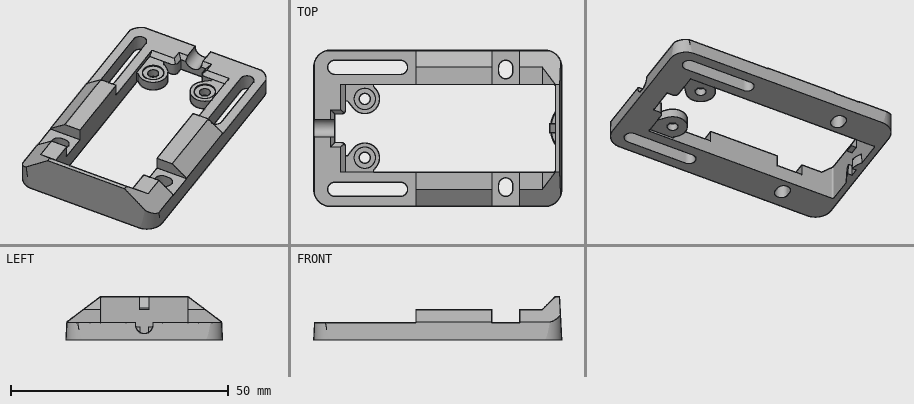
import cadquery as cq
import math

LENGTH = 57.0
WIDTH = 36.0
HEIGHT = 10.0
DRAFT_ANGLE = 3.0
CORNER_RADIUS = 4.0
FRONT_X = -LENGTH / 2
BACK_X = LENGTH / 2

BASE_HEIGHT = 4.0
RAIL_HEIGHT = 7.0

RAIL_START = FRONT_X + 23.5
GAP_START = FRONT_X + 40.9
GAP_END = FRONT_X + 47.3
WALL_INNER_X = BACK_X - 1.5
RAMP_START = WALL_INNER_X - (HEIGHT - RAIL_HEIGHT)

OPENING_HALF_WIDTH = 10.05
OPENING_FRONT_X = FRONT_X + 7.35
CABLE_NOTCH_X = FRONT_X + 4.9
CABLE_NOTCH_HALF_WIDTH = 3.25
NOTCH_CORNER_RADIUS = 1.0
SILL_DROP = 1.0
SILL_Z = BASE_HEIGHT - SILL_DROP
SILL_RUN = 1.15
NOTCH_BEVEL_RUN = SILL_DROP
WALL_CORNER_RADIUS = 0.4
CABLE_RADIUS = 2.0
CABLE_AXIS_Z = 3.5

SLOT_WIDTH = 3.2
LONG_SLOT_LENGTH = 18.3
LONG_SLOT_X = FRONT_X + 12.4
LONG_SLOT_Y = 14.0
SHORT_SLOT_LENGTH = 4.2
SHORT_SLOT_X = (GAP_START + GAP_END) / 2
SHORT_SLOT_Y = 13.5

BOSS_X = FRONT_X + 11.75
BOSS_Y = 6.75
BOSS_RADIUS = 3.4
BOSS_BOTTOM_Z = 0.6
BOSS_TOP_Z = SILL_Z
BOSS_HOLE_RADIUS = 1.25
RECESS_RADIUS = 2.45
RECESS_DEPTH = 0.3
WEB_INNER_CORNER = (BOSS_X - 3.95, BOSS_Y - 0.5)
WEB_END_CORNER = (BOSS_X + 2.0, BOSS_Y + 2.9)

CATCH_WIDTH = 2.1
CATCH_DEPTH = 1.3
CATCH_BOTTOM_Z = 7.05
CATCH_LIP = 0.3
TAB_HALF_SPAN = 3.8
TAB_GAP = 2.0
TAB_DEPTH = 1.15
TAB_HEIGHT = 3.0


def block(x_min, x_max, y_min, y_max, z_min, z_max):
    """Axis-aligned box given by its limits."""
    size = (x_max - x_min, y_max - y_min, z_max - z_min)
    return cq.Workplane("XY").box(*size, centered=False).translate((x_min, y_min, z_min))


def fillet_upright(solid, x, y, radius):
    """Round the vertical edge that stands nearest to (x, y)."""
    nearest = cq.selectors.NearestToPointSelector((x, y, HEIGHT / 2))
    return solid.edges("|Z").edges(nearest).fillet(radius)


def tangent_point(corner, turn):
    """Point where the line from corner touches the boss circle; turn is +1 or -1."""
    dx = corner[0] - BOSS_X
    dy = corner[1] - BOSS_Y
    angle = math.atan2(dy, dx) + turn * math.acos(BOSS_RADIUS / math.hypot(dx, dy))
    return (BOSS_X + BOSS_RADIUS * math.cos(angle), BOSS_Y + BOSS_RADIUS * math.sin(angle))


def make_envelope():
    """Rounded-corner block whose four flat sides lean inward; the corners stay upright."""
    upright = cq.Workplane("XY").rect(LENGTH, WIDTH).extrude(HEIGHT).edges("|Z").fillet(CORNER_RADIUS)
    drafted = cq.Workplane("XY").rect(LENGTH, WIDTH).extrude(HEIGHT, taper=DRAFT_ANGLE)
    return upright.intersect(drafted)


def make_side_profile():
    """Stepped profile along X: base, rails, gap, ramp and end wall."""
    points = [
        (FRONT_X, 0),
        (BACK_X, 0),
        (BACK_X, HEIGHT),
        (WALL_INNER_X, HEIGHT),
        (RAMP_START, RAIL_HEIGHT),
        (GAP_END, RAIL_HEIGHT),
        (GAP_END, BASE_HEIGHT),
        (GAP_START, BASE_HEIGHT),
        (GAP_START, RAIL_HEIGHT),
        (RAIL_START, RAIL_HEIGHT),
        (RAIL_START, BASE_HEIGHT),
        (FRONT_X, BASE_HEIGHT),
    ]
    return cq.Workplane("XZ").polyline(points).close().extrude(WIDTH / 2, both=True)


def make_roof_profile():
    """Cross-section with slopes from the base edge up to the opening edge."""
    points = [
        (-WIDTH / 2, 0),
        (WIDTH / 2, 0),
        (WIDTH / 2, BASE_HEIGHT),
        (OPENING_HALF_WIDTH, HEIGHT),
        (-OPENING_HALF_WIDTH, HEIGHT),
        (-WIDTH / 2, BASE_HEIGHT),
    ]
    return cq.Workplane("YZ").polyline(points).close().extrude(LENGTH / 2, both=True)


def make_opening():
    """Central opening with a cable notch in the front bar; the notch and end wall corners are rounded."""
    main = block(OPENING_FRONT_X, WALL_INNER_X, -OPENING_HALF_WIDTH, OPENING_HALF_WIDTH, 0, HEIGHT)
    notch = block(
        CABLE_NOTCH_X, OPENING_FRONT_X, -CABLE_NOTCH_HALF_WIDTH, CABLE_NOTCH_HALF_WIDTH, 0, HEIGHT
    )
    opening = main.union(notch)
    for side in (-1, 1):
        notch_y = side * CABLE_NOTCH_HALF_WIDTH
        wall_y = side * OPENING_HALF_WIDTH
        opening = fillet_upright(opening, OPENING_FRONT_X, notch_y, NOTCH_CORNER_RADIUS)
        opening = fillet_upright(opening, WALL_INNER_X, wall_y, WALL_CORNER_RADIUS)
    return opening


def make_sill_bevel():
    """Sloped lead-in along the top edge of the front bar and around the cable notch."""
    points = [
        (OPENING_FRONT_X, SILL_Z),
        (OPENING_FRONT_X - SILL_RUN, BASE_HEIGHT),
        (OPENING_FRONT_X, BASE_HEIGHT),
    ]
    straight = cq.Workplane("XZ").polyline(points).close().extrude(OPENING_HALF_WIDTH, both=True)
    notch_depth = OPENING_FRONT_X - CABLE_NOTCH_X
    around_notch = (
        cq.Workplane("XY", origin=(CABLE_NOTCH_X + notch_depth / 2, 0, SILL_Z))
        .rect(notch_depth, 2 * CABLE_NOTCH_HALF_WIDTH)
        .workplane(offset=SILL_DROP)
        .rect(notch_depth + 2 * NOTCH_BEVEL_RUN, 2 * (CABLE_NOTCH_HALF_WIDTH + NOTCH_BEVEL_RUN))
        .loft(ruled=True)
    )
    return straight.union(around_notch)


def make_cable_groove():
    """U-shaped groove through the front bar."""
    length = OPENING_FRONT_X - FRONT_X
    axis_start = cq.Workplane("YZ", origin=(FRONT_X, 0, CABLE_AXIS_Z))
    round_bottom = axis_start.circle(CABLE_RADIUS).extrude(length)
    mouth = block(FRONT_X, FRONT_X + length, -CABLE_RADIUS, CABLE_RADIUS, CABLE_AXIS_Z, HEIGHT)
    return round_bottom.union(mouth)


def make_slots():
    """Long slots along X near the front and short slots along Y in the rail gaps."""
    slots = cq.Workplane("XY")
    for side in (-1, 1):
        long_slot = (
            cq.Workplane("XY")
            .center(LONG_SLOT_X, side * LONG_SLOT_Y)
            .slot2D(LONG_SLOT_LENGTH, SLOT_WIDTH)
            .extrude(HEIGHT)
        )
        short_slot = (
            cq.Workplane("XY")
            .center(SHORT_SLOT_X, side * SHORT_SLOT_Y)
            .slot2D(SHORT_SLOT_LENGTH, SLOT_WIDTH, 90)
            .extrude(HEIGHT)
        )
        slots = slots.add(long_slot).add(short_slot)
    return slots.combine()


def make_boss():
    """Screw boss on the +Y side with a web into the corner of the opening."""
    thickness = BOSS_TOP_Z - BOSS_BOTTOM_Z
    base = cq.Workplane("XY", origin=(BOSS_X, BOSS_Y, BOSS_BOTTOM_Z))
    web_points = [
        (OPENING_FRONT_X, OPENING_HALF_WIDTH),
        (OPENING_FRONT_X, WEB_INNER_CORNER[1]),
        WEB_INNER_CORNER,
        tangent_point(WEB_INNER_CORNER, 1),
        tangent_point(WEB_END_CORNER, -1),
        WEB_END_CORNER,
        (WEB_END_CORNER[0], OPENING_HALF_WIDTH),
    ]
    web_plane = cq.Workplane("XY", origin=(0, 0, BOSS_BOTTOM_Z))
    web = web_plane.polyline(web_points).close().extrude(thickness)
    plate = base.circle(BOSS_RADIUS).extrude(thickness).union(web)
    hole = base.circle(BOSS_HOLE_RADIUS).extrude(thickness)
    recess = (
        cq.Workplane("XY", origin=(BOSS_X, BOSS_Y, BOSS_TOP_Z))
        .circle(RECESS_RADIUS)
        .extrude(-RECESS_DEPTH)
    )
    return plate.cut(hole).cut(recess)


def make_catch():
    """Wedge on the end wall, growing downward from the top edge."""
    points = [
        (WALL_INNER_X, HEIGHT),
        (WALL_INNER_X - CATCH_DEPTH, CATCH_BOTTOM_Z + CATCH_LIP),
        (WALL_INNER_X - CATCH_DEPTH, CATCH_BOTTOM_Z),
        (WALL_INNER_X, CATCH_BOTTOM_Z),
    ]
    return cq.Workplane("XZ").polyline(points).close().extrude(CATCH_WIDTH / 2, both=True)


def make_tabs():
    """Bowed rib low on the end wall, split in two by a central gap and rooted inside the wall."""
    tab_root_x = (WALL_INNER_X + BACK_X) / 2
    bow = (
        cq.Workplane("XY")
        .moveTo(WALL_INNER_X, -TAB_HALF_SPAN)
        .threePointArc((WALL_INNER_X - TAB_DEPTH, 0), (WALL_INNER_X, TAB_HALF_SPAN))
        .lineTo(tab_root_x, TAB_HALF_SPAN)
        .lineTo(tab_root_x, -TAB_HALF_SPAN)
        .close()
        .extrude(TAB_HEIGHT, taper=DRAFT_ANGLE)
    )
    gap = block(WALL_INNER_X - 2 * TAB_DEPTH, BACK_X, -TAB_GAP / 2, TAB_GAP / 2, 0, TAB_HEIGHT)
    return bow.cut(gap)


body = make_envelope().intersect(make_side_profile()).intersect(make_roof_profile())
body = body.cut(make_opening()).cut(make_sill_bevel()).cut(make_cable_groove()).cut(make_slots())
boss = make_boss()
body = body.union(boss).union(boss.mirror("XZ"))
result = body.union(make_catch()).union(make_tabs())